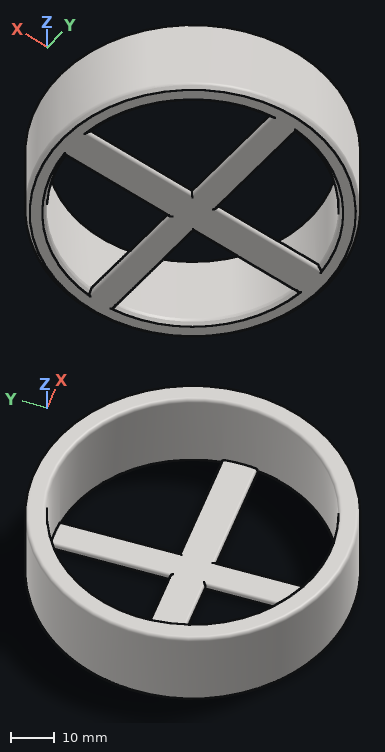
import cadquery as cq

outer_diameter = 76.5
inner_diameter = 66.5
height = 22.0
rim_fillet = 1.0
base_chamfer = 1.1
base_blend_radius = 1.0

cross_height = 2.0
bar_along_x_width = 8.6
bar_along_y_width = 7.1
bar_fillet = 0.7
bar_length = (outer_diameter + inner_diameter) / 2


def make_ring():
    """Tube with a rounded top rim and base edges chamfered, then blended into the walls."""
    tube = (
        cq.Workplane("XY")
        .circle(outer_diameter / 2)
        .circle(inner_diameter / 2)
        .extrude(height)
    )
    tube = tube.faces(">Z").edges().fillet(rim_fillet)
    tube = tube.faces("<Z").edges().chamfer(base_chamfer)
    chamfer_top_edges = cq.selectors.BoxSelector(
        (-outer_diameter, -outer_diameter, base_chamfer / 2),
        (outer_diameter, outer_diameter, base_chamfer * 1.5),
        boundingbox=True,
    )
    return tube.edges(chamfer_top_edges).fillet(base_blend_radius)


def make_cross():
    """Two crossing bars with rounded long edges, ending inside the ring wall."""
    centered = (True, True, False)
    bar_x = cq.Workplane("XY").box(bar_length, bar_along_x_width, cross_height, centered=centered)
    bar_y = cq.Workplane("XY").box(bar_along_y_width, bar_length, cross_height, centered=centered)
    return bar_x.union(bar_y).faces("<Z or >Z").edges().fillet(bar_fillet)


result = make_ring().union(make_cross())